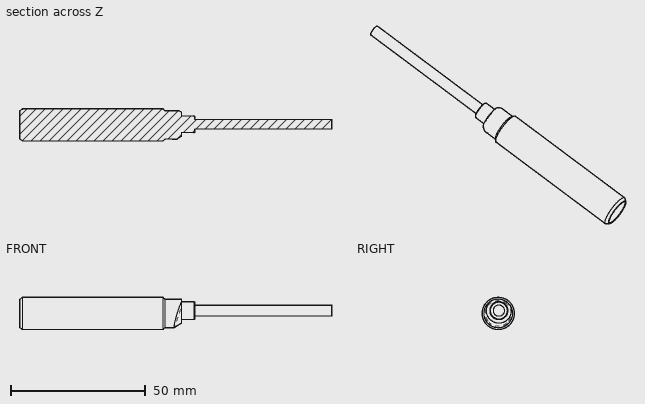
import cadquery as cq
import math

total_length = 115.8
barrel_radius = 6.0
barrel_end = 53.8
nose_chamfer_length = 1.0
nose_chamfer_depth = 0.8
face_recess_radius = 4.7
face_recess_depth = 0.1

cap_radius = 5.3
cap_end = 60.1
shoulder_chamfer = barrel_radius - cap_radius

cable_axis_y = 0.2
cable_axis_z = 1.0
cable_axis = (cable_axis_y, cable_axis_z)
gland_radius = 3.4
gland_end = 65.0
gland_chamfer = 0.2
cable_radius = 2.1

taper_length = 2.9
taper_end_radius = 4.6
taper_start_radius = cap_radius + math.hypot(*cable_axis)

x_start = -total_length / 2


def cylinder(start, end, radius, axis=(0, 0)):
    """Cylinder along X between two distances from the nose."""
    plane = cq.Workplane("YZ", origin=(x_start + start, *axis))
    return plane.circle(radius).extrude(end - start)


def make_barrel():
    barrel = cylinder(0, barrel_end, barrel_radius)
    barrel = barrel.faces("<X").chamfer(nose_chamfer_length, nose_chamfer_depth)
    barrel = barrel.cut(cylinder(0, face_recess_depth, face_recess_radius))
    return barrel.faces(">X").chamfer(shoulder_chamfer)


def make_cap():
    """Cap trimmed by an off-centre cone, which cuts deepest below."""
    cap = cylinder(barrel_end, cap_end, cap_radius)
    taper_start = cap_end - taper_length
    cone = (
        cq.Workplane("YZ", origin=(x_start + taper_start, *cable_axis))
        .circle(taper_start_radius)
        .workplane(offset=taper_length)
        .circle(taper_end_radius)
        .loft(ruled=True)
    )
    straight = cylinder(barrel_end, taper_start, taper_start_radius, cable_axis)
    return cap.intersect(straight.union(cone))


def make_gland():
    gland = cylinder(cap_end, gland_end, gland_radius, cable_axis)
    return gland.faces(">X").chamfer(gland_chamfer)


def make_cable():
    return cylinder(gland_end, total_length, cable_radius, cable_axis)


result = make_barrel().union(make_cap()).union(make_gland()).union(make_cable())